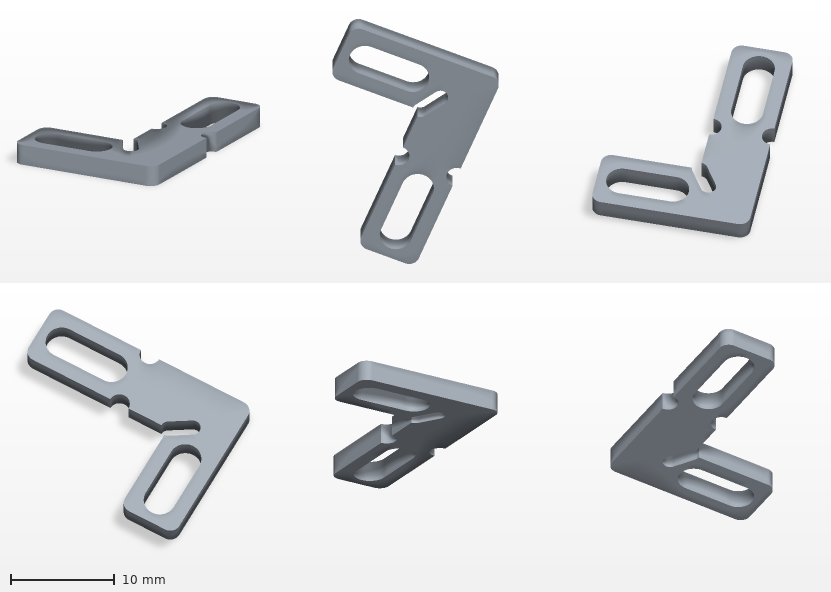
import cadquery as cq
import math

plate_length_x = 15.5
plate_length_y = 21.94
thickness = 2.0
leg_width = 6.0
corner_radius = 1.0

slot_width = 3.1
slot_end_inset = 2.5
x_slot_travel = 5.0
y_slot_travel = 5.5

notch_radius = 1.0

relief_width = 1.5
relief_run_x = 1.25
relief_run_y = -2.0

inner_corner_x = plate_length_x - leg_width
inner_corner_y = leg_width
leg_middle = leg_width / 2
y_slot_lower_end = plate_length_y - slot_end_inset - y_slot_travel - slot_width / 2
notch_y = y_slot_lower_end - notch_radius


def make_plate():
    """L-shaped plate with every convex corner rounded and a sharp inner corner."""
    x_leg = cq.Workplane("XY").box(plate_length_x, leg_width, thickness, centered=False)
    y_leg = (
        cq.Workplane("XY")
        .box(leg_width, plate_length_y, thickness, centered=False)
        .translate((inner_corner_x, 0, 0))
    )
    plate = x_leg.union(y_leg).clean()
    inner_corner = cq.selectors.BoxSelector(
        (inner_corner_x - corner_radius, inner_corner_y - corner_radius, 0),
        (inner_corner_x + corner_radius, inner_corner_y + corner_radius, thickness),
    )
    outer_corners = cq.selectors.SubtractSelector(cq.StringSyntaxSelector("|Z"), inner_corner)
    return plate.edges(outer_corners).fillet(corner_radius)


def slot_cutter(start, run, width):
    """Round-ended through slot from one arc centre, offset by run to the other."""
    run_x, run_y = run
    middle = (start[0] + run_x / 2, start[1] + run_y / 2)
    length = math.hypot(run_x, run_y) + width
    angle = math.degrees(math.atan2(run_y, run_x))
    return cq.Workplane("XY").center(*middle).slot2D(length, width, angle).extrude(thickness)


def notch_cutters():
    """Round cutters centred on the two long sides of the Y leg."""
    return (
        cq.Workplane("XY")
        .pushPoints([(inner_corner_x, notch_y), (plate_length_x, notch_y)])
        .circle(notch_radius)
        .extrude(thickness)
    )


x_slot = slot_cutter((slot_end_inset, leg_middle), (x_slot_travel, 0), slot_width)
y_slot = slot_cutter(
    (plate_length_x - leg_middle, plate_length_y - slot_end_inset),
    (0, -y_slot_travel),
    slot_width,
)
relief_slot = slot_cutter(
    (inner_corner_x, inner_corner_y),
    (relief_run_x, relief_run_y),
    relief_width,
)

result = make_plate().cut(x_slot).cut(y_slot).cut(relief_slot).cut(notch_cutters())